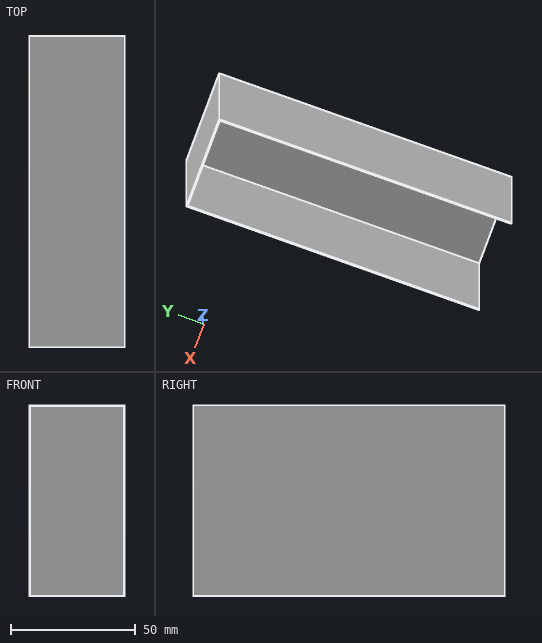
import cadquery as cq

width = 38.4
length = 125.0
height = 76.7

wall = 0.5


def make_cover():
    """Thin box, centred on the origin, open at the bottom (-Z) and the front (-Y)."""
    outer = cq.Workplane("XY").box(width, length, height)
    cavity = (
        cq.Workplane("XY")
        .box(width - 2 * wall, length - wall, height - wall)
        .translate((0, -wall / 2, -wall / 2))
    )
    return outer.cut(cavity)


result = make_cover()